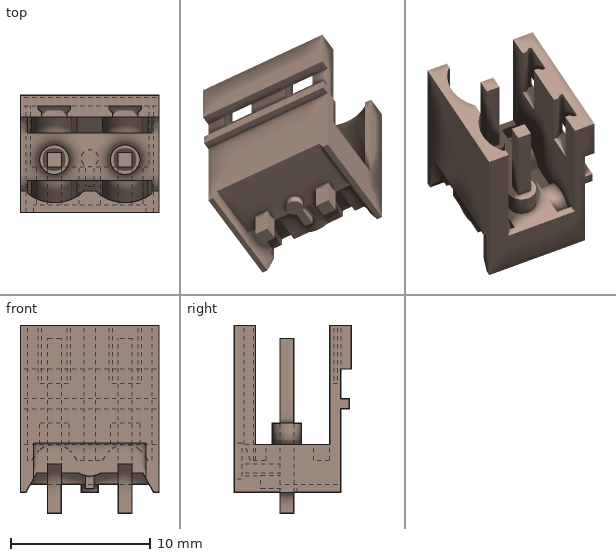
import cadquery as cq
import math


WIDTH = 9.96
HEIGHT = 11.99
FRONT_WALL_INNER_Y = 1.55
BACK_WALL_INNER_Y = 6.86
BACK_WALL_OUTER_Y = 7.67
FLOOR_Z = 3.44

OVERHANG_Y = 8.42
OVERHANG_BOTTOM_Z = 8.85
LEDGE_Y = 8.28
LEDGE_BOTTOM_Z = 6.0
LEDGE_TOP_Z = 6.74

PIN_PITCH = 5.08
PIN_SIZE = 1.01
PIN_BOTTOM_Z = -1.51
PIN_TOP_Z = 11.05
PIN_Y = 3.8
PIN_XS = (-PIN_PITCH / 2, PIN_PITCH / 2)
COLLAR_DIAMETER = 2.12
COLLAR_TOP_Z = 4.97

TRENCH_WIDTH = 8.92
TRENCH_BOTTOM_Z = 2.3
FRONT_TRENCH_END_Y = 2.31
BACK_TRENCH_START_Y = 5.7
SCOOP_RADIUS = 3.08
HUMP_RADIUS = 1.62
HUMP_HALF_ARC_WIDTH = 1.24
HUMP_HALF_BASE_WIDTH = 1.63

DOVETAIL_WIDTH = 2.32
DOVETAIL_NECK_WIDTH = 1.84
DOVETAIL_NECK_Y = 7.17
DOVETAIL_SHOULDER_Y = 7.44
DOVETAIL_BOTTOM_Z = 7.83

RECESS_WIDTH = 8.09
RECESS_DEPTH = 0.55
RECESS_TOP_Z = 3.55

CHANNEL_TOP_WIDTH = 7.64
CHANNEL_BOTTOM_WIDTH = 9.15
HOLLOW_ROOF_Z = 1.38
REAR_ROOF_Z = 0.57
HOLLOW_END_Y = PIN_Y - PIN_SIZE / 2
NOTCH_TOP_Z = 2.04

BULGE_WIDTH = 1.57
BULGE_DROP = 0.2
RIB_WIDTH = 0.6
RIB_START_Y = 1.89
RIB_BOTTOM_Z = 0.3
FOOT_DIAMETER = 1.23


def box(x_min, x_max, y_min, y_max, z_min, z_max):
    """Box between the given limits."""
    size = (x_max - x_min, y_max - y_min, z_max - z_min)
    return cq.Workplane("XY").box(*size, centered=False).translate((x_min, y_min, z_min))


def wide_box(width, y_min, y_max, z_min, z_max):
    """Box centred on X = 0."""
    return box(-width / 2, width / 2, y_min, y_max, z_min, z_max)


def along_y(profile, y_min, y_max):
    """Extrude a closed XZ profile from y_min to y_max."""
    return profile.extrude(y_min - y_max).translate((0, y_min, 0))


def make_shell():
    """U-shaped profile, seen along X, with the overhang and ledge on the back wall."""
    outline = [
        (0, 0),
        (BACK_WALL_OUTER_Y, 0),
        (BACK_WALL_OUTER_Y, LEDGE_BOTTOM_Z),
        (LEDGE_Y, LEDGE_BOTTOM_Z),
        (LEDGE_Y, LEDGE_TOP_Z),
        (BACK_WALL_OUTER_Y, LEDGE_TOP_Z),
        (BACK_WALL_OUTER_Y, OVERHANG_BOTTOM_Z),
        (OVERHANG_Y, OVERHANG_BOTTOM_Z),
        (OVERHANG_Y, HEIGHT),
        (BACK_WALL_INNER_Y, HEIGHT),
        (BACK_WALL_INNER_Y, FLOOR_Z),
        (FRONT_WALL_INNER_Y, FLOOR_Z),
        (FRONT_WALL_INNER_Y, HEIGHT),
        (0, HEIGHT),
    ]
    return cq.Workplane("YZ").polyline(outline).close().extrude(WIDTH / 2, both=True)


def make_hump(x):
    """Rounded hump below the floor: an arc touching floor level, with straight sloping flanks."""
    drop = HUMP_RADIUS - math.sqrt(HUMP_RADIUS**2 - HUMP_HALF_ARC_WIDTH**2)
    profile = (
        cq.Workplane("XZ")
        .moveTo(x - HUMP_HALF_BASE_WIDTH, TRENCH_BOTTOM_Z)
        .lineTo(x - HUMP_HALF_ARC_WIDTH, FLOOR_Z - drop)
        .threePointArc((x, FLOOR_Z), (x + HUMP_HALF_ARC_WIDTH, FLOOR_Z - drop))
        .lineTo(x + HUMP_HALF_BASE_WIDTH, TRENCH_BOTTOM_Z)
        .close()
    )
    return along_y(profile, 0, BACK_WALL_INNER_Y)


def make_trenches():
    """Space removed for both floor trenches and for the round scoops in the front wall."""
    front = wide_box(TRENCH_WIDTH, FRONT_WALL_INNER_Y, FRONT_TRENCH_END_Y, TRENCH_BOTTOM_Z, FLOOR_Z)
    back = wide_box(TRENCH_WIDTH, BACK_TRENCH_START_Y, BACK_WALL_INNER_Y, TRENCH_BOTTOM_Z, FLOOR_Z)
    scoop_limit = wide_box(TRENCH_WIDTH, 0, FRONT_TRENCH_END_Y, TRENCH_BOTTOM_Z, HEIGHT)
    for x in PIN_XS:
        scoop = (
            cq.Workplane("XY", origin=(x, PIN_Y, TRENCH_BOTTOM_Z))
            .circle(SCOOP_RADIUS)
            .extrude(HEIGHT - TRENCH_BOTTOM_Z)
        )
        front = front.union(scoop.intersect(scoop_limit))
    for x in PIN_XS:
        hump = make_hump(x)
        front = front.cut(hump)
        back = back.cut(hump)
    return front.union(back)


def make_dovetail(x):
    """Dovetail slot, wide at the outer face of the back wall and narrow at the inner face."""
    wide = DOVETAIL_WIDTH / 2
    neck = DOVETAIL_NECK_WIDTH / 2
    outline = [
        (x - neck, BACK_WALL_INNER_Y),
        (x - neck, DOVETAIL_NECK_Y),
        (x - wide, DOVETAIL_SHOULDER_Y),
        (x - wide, BACK_WALL_OUTER_Y),
        (x + wide, BACK_WALL_OUTER_Y),
        (x + wide, DOVETAIL_SHOULDER_Y),
        (x + neck, DOVETAIL_NECK_Y),
        (x + neck, BACK_WALL_INNER_Y),
    ]
    base = cq.Workplane("XY", origin=(0, 0, DOVETAIL_BOTTOM_Z))
    return base.polyline(outline).close().extrude(HEIGHT - DOVETAIL_BOTTOM_Z)


def make_underside_hollow():
    """Channel with sloping sides; its roof is lower behind the pins and bulges on the centre line."""
    outline = [
        (-CHANNEL_BOTTOM_WIDTH / 2, 0),
        (-CHANNEL_TOP_WIDTH / 2, HOLLOW_ROOF_Z),
        (CHANNEL_TOP_WIDTH / 2, HOLLOW_ROOF_Z),
        (CHANNEL_BOTTOM_WIDTH / 2, 0),
    ]
    channel = along_y(cq.Workplane("XZ").polyline(outline).close(), 0, BACK_WALL_OUTER_Y)
    rear_block = wide_box(WIDTH, HOLLOW_END_Y, BACK_WALL_OUTER_Y, REAR_ROOF_Z, HOLLOW_ROOF_Z)
    bulge_profile = (
        cq.Workplane("XZ")
        .moveTo(-BULGE_WIDTH / 2, HOLLOW_ROOF_Z)
        .threePointArc((0, HOLLOW_ROOF_Z - BULGE_DROP), (BULGE_WIDTH / 2, HOLLOW_ROOF_Z))
        .close()
    )
    bulge = along_y(bulge_profile, RECESS_DEPTH, HOLLOW_END_Y)
    return channel.cut(rear_block).cut(bulge)


def make_rib_and_foot():
    """Rib under the hollow roof and the round foot it runs into."""
    radius = FOOT_DIAMETER / 2
    foot_y = HOLLOW_END_Y + radius
    rib = wide_box(RIB_WIDTH, RIB_START_Y, foot_y, RIB_BOTTOM_Z, HOLLOW_ROOF_Z)
    foot = cq.Workplane("XY", origin=(0, foot_y, 0)).circle(radius).extrude(REAR_ROOF_Z)
    return rib.union(foot)


def make_pin(x):
    """Straight square pin."""
    half = PIN_SIZE / 2
    return box(x - half, x + half, PIN_Y - half, PIN_Y + half, PIN_BOTTOM_Z, PIN_TOP_Z)


def make_notch(x):
    """Pin-wide notch in the hollow roof, from the front recess to the pin."""
    half = PIN_SIZE / 2
    return box(x - half, x + half, RECESS_DEPTH, HOLLOW_END_Y, 0, NOTCH_TOP_Z)


def make_housing(pins):
    """Complete housing, with a square hole where each pin passes through."""
    body = make_shell().cut(make_trenches())
    body = body.cut(wide_box(RECESS_WIDTH, 0, RECESS_DEPTH, 0, RECESS_TOP_Z))
    body = body.cut(make_underside_hollow()).union(make_rib_and_foot())
    for x, pin in zip(PIN_XS, pins):
        collar = (
            cq.Workplane("XY", origin=(x, PIN_Y, FLOOR_Z))
            .circle(COLLAR_DIAMETER / 2)
            .extrude(COLLAR_TOP_Z - FLOOR_Z)
        )
        body = body.union(collar).cut(make_dovetail(x)).cut(make_notch(x)).cut(pin)
    return body


pins = [make_pin(x) for x in PIN_XS]
housing = make_housing(pins)
result = cq.Compound.makeCompound([housing.val(), *[pin.val() for pin in pins]])